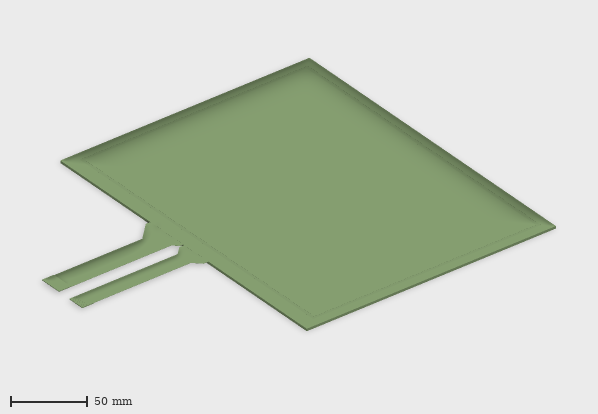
import cadquery as cq


plate_width = 263.5
overall_length = 307.0
overall_height = 2.2
plate_length = 207.0
plate_thickness = 1.9
tail_length = overall_length - plate_length

border_side_inset = 7.0
border_back_inset = 7.0
border_front_inset = 10.7
border_side_width = 2.0
border_end_width = 2.5
border_depth = 0.1

tail_thickness = 0.15
tail_top = 1.8
tail_bottom = tail_top - tail_thickness
tail_overlap = 1.5

wide_root_left = -35.5
wide_root_right = -0.3
wide_strip_left = -22.5
wide_strip_right = -4.3
wide_left_step = 3.7
wide_right_step = 2.8

narrow_root_left = 0.5
narrow_root_right = 26.5
narrow_strip_left = 6.8
narrow_strip_right = 20.5
narrow_step = 4.0

stiffener_length = 9.8
stiffener_thickness = overall_height - tail_top
contact_length = 5.0
contact_thickness = 0.05
contact_pitch = 1.0
contact_width = 0.5
wide_contact_count = 17
narrow_contact_count = 13


def box(left, right, front, back, bottom, top):
    """Box given by its limits along X, Y and Z."""
    return cq.Workplane("XY").box(
        right - left, back - front, top - bottom, centered=False
    ).translate((left, front, bottom))


def make_plate():
    """Plate with the border groove cut into its top face."""
    half_width = plate_width / 2
    groove_floor = plate_thickness - border_depth

    def window(side_margin, end_margin):
        side = half_width - border_side_inset - side_margin
        front = border_front_inset + end_margin
        back = plate_length - border_back_inset - end_margin
        return box(-side, side, front, back, groove_floor, plate_thickness)

    plate = box(-half_width, half_width, 0, plate_length, 0, plate_thickness)
    groove = window(0, 0).cut(window(border_side_width, border_end_width))
    return plate.cut(groove)


def make_tail(root_left, root_right, strip_left, strip_right, left_step, right_step):
    """Flat tail whose wide root narrows to a strip through 45 degree shoulders."""
    left_shoulder_end = left_step + (strip_left - root_left)
    right_shoulder_end = right_step + (root_right - strip_right)
    outline = [
        (root_left, tail_overlap),
        (root_left, -left_step),
        (strip_left, -left_shoulder_end),
        (strip_left, -tail_length),
        (strip_right, -tail_length),
        (strip_right, -right_shoulder_end),
        (root_right, -right_step),
        (root_right, tail_overlap),
    ]
    return (
        cq.Workplane("XY", origin=(0, 0, tail_bottom))
        .polyline(outline)
        .close()
        .extrude(tail_thickness)
    )


def make_stiffener(left, right, bottom):
    """Backing pad across the end of a tail."""
    return box(
        left, right, -tail_length, -tail_length + stiffener_length, bottom, bottom + stiffener_thickness
    )


def make_contacts(left, right, count, bottom):
    """Row of contact strips centred across the end of a tail."""
    middle = (left + right) / 2
    centers = [(middle + (i - (count - 1) / 2) * contact_pitch, 0) for i in range(count)]
    return (
        cq.Workplane("XY", origin=(0, -tail_length + contact_length / 2, bottom))
        .pushPoints(centers)
        .rect(contact_width, contact_length)
        .extrude(contact_thickness)
    )


wide_tail = (
    make_tail(
        wide_root_left, wide_root_right, wide_strip_left, wide_strip_right, wide_left_step, wide_right_step
    )
    .union(make_stiffener(wide_strip_left, wide_strip_right, tail_top))
    .union(
        make_contacts(wide_strip_left, wide_strip_right, wide_contact_count, tail_bottom - contact_thickness)
    )
)

narrow_tail = (
    make_tail(
        narrow_root_left, narrow_root_right, narrow_strip_left, narrow_strip_right, narrow_step, narrow_step
    )
    .union(make_stiffener(narrow_strip_left, narrow_strip_right, tail_bottom - stiffener_thickness))
    .union(make_contacts(narrow_strip_left, narrow_strip_right, narrow_contact_count, tail_top))
)

result = make_plate().union(wide_tail).union(narrow_tail)